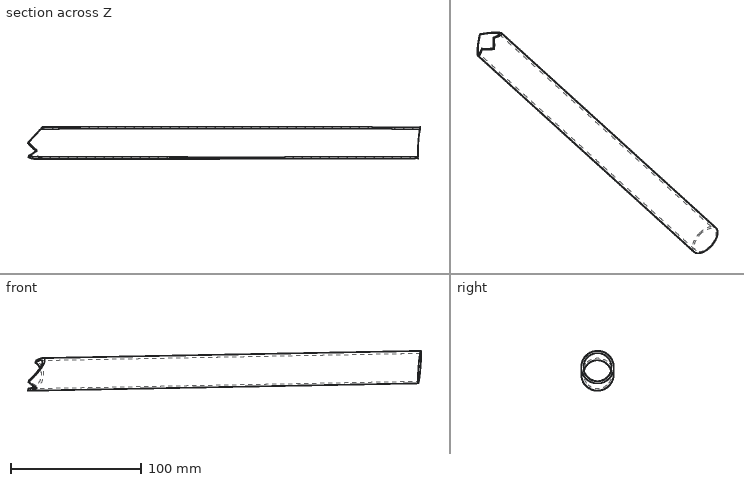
import cadquery as cq
import math

length = 301.5
outer_diameter = 25.0
inner_diameter = 21.5
rise = 5.7
overrun = 30.2
cutter_size = 181.0

upper_mitre = (0.0, -0.5, 0.9)
side_mitre = (0.3, 0.92, 0.02)
far_slope_y = 0.07
far_slope_z = 0.08
far_reach = math.hypot(far_slope_y, far_slope_z) * outer_diameter / 2
far_trim = (length - far_reach, far_slope_y, far_slope_z)

notch_depth = 7.0
notch_half_width = 6.5
notch_angle = 237.0


def make_tube():
    """Hollow round tube along the tilted axis, longer than the finished part."""
    slope = rise / length
    start = (-overrun, 0, -overrun * slope)
    full_length = (length + 2 * overrun) * math.hypot(1, slope)
    section = cq.Plane(origin=start, xDir=(0, 1, 0), normal=(1, 0, slope))
    return (
        cq.Workplane(section)
        .circle(outer_diameter / 2)
        .circle(inner_diameter / 2)
        .extrude(full_length)
    )


def end_cutter(end_plane, axis_z, direction):
    """Block beyond an end plane: direction -1 removes the low X side, +1 the high X side."""
    axis_x, slope_y, slope_z = end_plane
    normal = (direction, -direction * slope_y, -direction * slope_z)
    face = cq.Plane(origin=(axis_x, 0, axis_z), xDir=(slope_y, 1, 0), normal=normal)
    return cq.Workplane(face).rect(cutter_size, cutter_size).extrude(cutter_size)


def notch_cutter():
    """Triangular prism running radially outward, with its mouth extended past the tube end."""
    angle = math.radians(notch_angle)
    outward = (0, math.cos(angle), math.sin(angle))
    mouth_half_width = 2 * notch_half_width
    return (
        cq.Workplane(cq.Plane(origin=(0, 0, 0), xDir=(1, 0, 0), normal=outward))
        .polyline([
            (notch_depth, 0),
            (-notch_depth, mouth_half_width),
            (-notch_depth, -mouth_half_width),
        ])
        .close()
        .extrude(outer_diameter)
    )


result = make_tube()

result = result.cut(end_cutter(upper_mitre, 0, -1))
result = result.cut(end_cutter(side_mitre, 0, -1))
result = result.cut(notch_cutter())

result = result.cut(end_cutter(far_trim, rise, 1))